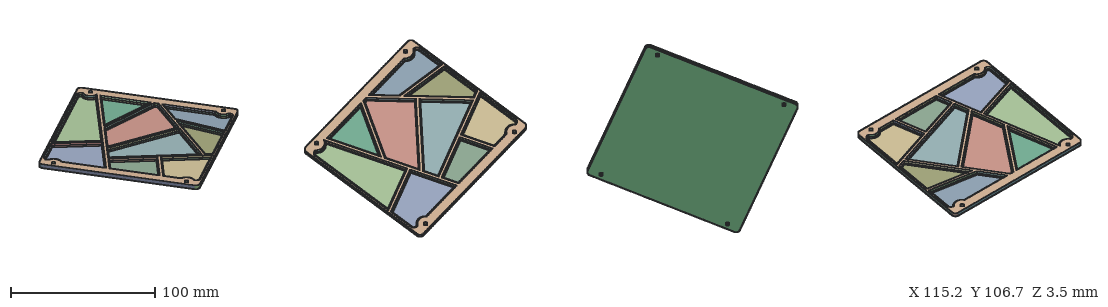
import cadquery as cq
import math

LENGTH = 115.2
WIDTH = 106.7
THICKNESS = 3.5
CORNER_RADIUS = 3.0
BOTTOM_CHAMFER = 0.3

POCKET_DEPTH = 2.5
EDGE_CHAMFER = 1.0
SIDE_RIM = 1.5
END_RIM = 6.9
POCKET_CORNER_RADIUS = 3.0
FLOOR_LEVEL = THICKNESS - POCKET_DEPTH

HOLE_DIAMETER = 2.5
HOLE_X = LENGTH / 2 - 9.9
HOLE_Y = WIDTH / 2 - 3.9
LAND_RADIUS = 5.5

RIB_WIDTH = 2.1
EDGE_X = LENGTH / 2
EDGE_Y = WIDTH / 2
RIBS = [
    ((-43.5, EDGE_Y), (-7.3, -EDGE_Y)),
    ((-EDGE_X, -24.4), (-21.2, -12.2)),
    ((-27.4, 5.9), (2.0, EDGE_Y)),
    ((-2.3, EDGE_Y), (50.0, -11.9)),
    ((17.5, 28.7), (EDGE_X, 22.0)),
    ((25.0, 19.4), (-18.3, -21.0)),
    ((-13.9, -33.6), (EDGE_X, -9.3)),
    ((20.6, -21.9), (31.2, -EDGE_Y)),
]


def hole_centres(plane):
    return plane.rect(2 * HOLE_X, 2 * HOLE_Y, forConstruction=True).vertices()


def make_plate():
    plate = cq.Workplane("XY").box(LENGTH, WIDTH, THICKNESS, centered=(True, True, False))
    plate = plate.edges("|Z").fillet(CORNER_RADIUS)
    plate = plate.faces("<Z").chamfer(BOTTOM_CHAMFER)
    holes = hole_centres(cq.Workplane("XY")).circle(HOLE_DIAMETER / 2).extrude(THICKNESS)
    return plate.cut(holes)


def rib_foot(start, end):
    """Bar along one rib, as wide as the rib is at the pocket floor."""
    run_x = end[0] - start[0]
    run_y = end[1] - start[1]
    middle = ((start[0] + end[0]) / 2, (start[1] + end[1]) / 2)
    return (
        cq.Workplane("XY", origin=(middle[0], middle[1], FLOOR_LEVEL))
        .transformed(rotate=(0, 0, math.degrees(math.atan2(run_y, run_x))))
        .rect(math.hypot(run_x, run_y), RIB_WIDTH + 2 * EDGE_CHAMFER)
        .extrude(POCKET_DEPTH)
    )


def make_floor_areas():
    """Upright blocks whose bases are the flat pocket floors."""
    floor_plane = cq.Workplane("XY").workplane(offset=FLOOR_LEVEL)
    areas = (
        floor_plane.rect(LENGTH - 2 * (SIDE_RIM + EDGE_CHAMFER), WIDTH - 2 * (END_RIM + EDGE_CHAMFER))
        .extrude(POCKET_DEPTH)
        .edges("|Z")
        .fillet(POCKET_CORNER_RADIUS - EDGE_CHAMFER)
    )
    areas = areas.cut(hole_centres(floor_plane).circle(LAND_RADIUS + EDGE_CHAMFER).extrude(POCKET_DEPTH))
    for start, end in RIBS:
        areas = areas.cut(rib_foot(start, end))
    return areas


def pocket_cutter(floor):
    """Upright walls from the floor, opening at the top into a sloped edge with sharp corners."""
    outline = floor.outerWire()
    well = cq.Workplane("XY").add(outline).toPending().extrude(POCKET_DEPTH)
    rim = outline.offset2D(EDGE_CHAMFER, "intersection")[0].translate((0, 0, POCKET_DEPTH))
    foot = outline.translate((0, 0, POCKET_DEPTH - EDGE_CHAMFER))
    slope = cq.Solid.makeLoft([foot, rim], True)
    return well.union(cq.Workplane(slope))


result = make_plate()
for floor in make_floor_areas().faces("<Z").vals():
    result = result.cut(pocket_cutter(floor))